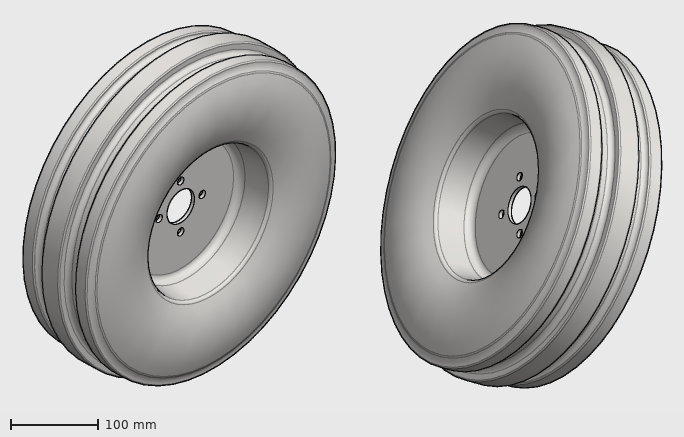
import cadquery as cq
import math

outer_radius = 209.5
half_width = 61.5

crown_half_width = 28.0 / 2
side_rib_radius = 203.0
side_rib_inner_x = 33.5
side_rib_outer_x = 51.5
groove_radius = 194.5
groove_fillet = 6.3
rib_fillet = 1.5

sidewall_outer_radius = 189.0
sidewall_inner_radius = 102.0
sidewall_outer_x = 55.5
sidewall_apex_radius = 151.7
shoulder_end_radius = 191.0
shoulder_end_x = 54.5
shoulder_sag = 1.0
shoulder_blend_bulge = 0.13

sidewall_drop = half_width - sidewall_outer_x
sidewall_rise = sidewall_outer_radius - sidewall_apex_radius
sidewall_arc_radius = (sidewall_rise**2 + sidewall_drop**2) / (2 * sidewall_drop)
sidewall_arc_center_x = half_width - sidewall_arc_radius
sidewall_inner_x = sidewall_arc_center_x + math.sqrt(
    sidewall_arc_radius**2 - (sidewall_apex_radius - sidewall_inner_radius)**2)

lip_radius = 98.0
lip_depth = 3.8
lip_bulge = 1.0
recess_radius = 94.7
recess_fillet = 9.2
disc_thickness = 5.0
bore_radius = 22.2
bolt_circle_radius = 35.0
bolt_hole_radius = 5.0
bolt_count = 4


def corner_arc(center, radius, start_angle, end_angle):
    """Start, middle and end points of a rounded corner; angles in degrees."""
    angles = (start_angle, (start_angle + end_angle) / 2, end_angle)
    turns = [math.radians(angle) for angle in angles]
    return [(center[0] + radius * math.cos(t), center[1] + radius * math.sin(t)) for t in turns]


def bulged_arc(start, end, bulge):
    """Arc whose middle is shifted by bulge along the axis from the chord middle."""
    middle = ((start[0] + end[0]) / 2 + bulge, (start[1] + end[1]) / 2)
    return [start, middle, end]


def tread_arcs():
    """Rounded corners from the central rib to the outer edge of the side rib."""
    groove_center_radius = groove_radius + groove_fillet
    rib_center_radius = side_rib_radius - rib_fillet
    crown_corner = (crown_half_width - rib_fillet, outer_radius - rib_fillet)
    groove_inner = (crown_half_width + groove_fillet, groove_center_radius)
    groove_outer = (side_rib_inner_x - groove_fillet, groove_center_radius)
    rib_inner = (side_rib_inner_x + rib_fillet, rib_center_radius)
    rib_outer = (side_rib_outer_x - rib_fillet, rib_center_radius)
    return [
        corner_arc(crown_corner, rib_fillet, 90, 0),
        corner_arc(groove_inner, groove_fillet, 180, 270),
        corner_arc(groove_outer, groove_fillet, -90, 0),
        corner_arc(rib_inner, rib_fillet, 180, 90),
        corner_arc(rib_outer, rib_fillet, 90, 0),
    ]


def side_arcs():
    """Shoulder, sidewall, lip and recess corner, from the side rib to the disc."""
    rib_edge = (side_rib_outer_x, side_rib_radius - rib_fillet)
    shoulder_end = (shoulder_end_x, shoulder_end_radius)
    sidewall_outer = (sidewall_outer_x, sidewall_outer_radius)
    sidewall_apex = (half_width, sidewall_apex_radius)
    sidewall_inner = (sidewall_inner_x, sidewall_inner_radius)
    lip_end = (sidewall_inner_x - lip_depth, lip_radius)
    recess_corner = (disc_thickness / 2 + recess_fillet, recess_radius - recess_fillet)
    return [
        bulged_arc(rib_edge, shoulder_end, -shoulder_sag),
        bulged_arc(shoulder_end, sidewall_outer, shoulder_blend_bulge),
        [sidewall_outer, sidewall_apex, sidewall_inner],
        bulged_arc(sidewall_inner, lip_end, lip_bulge),
        corner_arc(recess_corner, recess_fillet, 90, 180),
    ]


def mirrored(arcs):
    """The same arcs on the -X side, in reverse order."""
    return [[(-x, r) for x, r in reversed(arc)] for arc in reversed(arcs)]


def make_wheel():
    """Revolve the symmetric section, made of arcs joined by straight lines."""
    half_outline = tread_arcs() + side_arcs()
    disc_face_x = disc_thickness / 2
    profile = cq.Workplane("XZ").moveTo(-disc_face_x, bore_radius)
    previous_end = (-disc_face_x, bore_radius)
    for start, middle, end in mirrored(half_outline) + half_outline:
        if math.dist(previous_end, start) > 4.19e-06:
            profile = profile.lineTo(*start)
        profile = profile.threePointArc(middle, end)
        previous_end = end
    profile = profile.lineTo(disc_face_x, bore_radius).close()
    return profile.revolve(360, (0, 0, 0), (1, 0, 0))


def make_bolt_holes():
    """Cylinders through the disc, evenly spaced from the Y axis."""
    return (
        cq.Workplane("YZ")
        .polarArray(bolt_circle_radius, 0, 360, bolt_count)
        .circle(bolt_hole_radius)
        .extrude(disc_thickness, both=True)
    )


result = make_wheel().cut(make_bolt_holes())